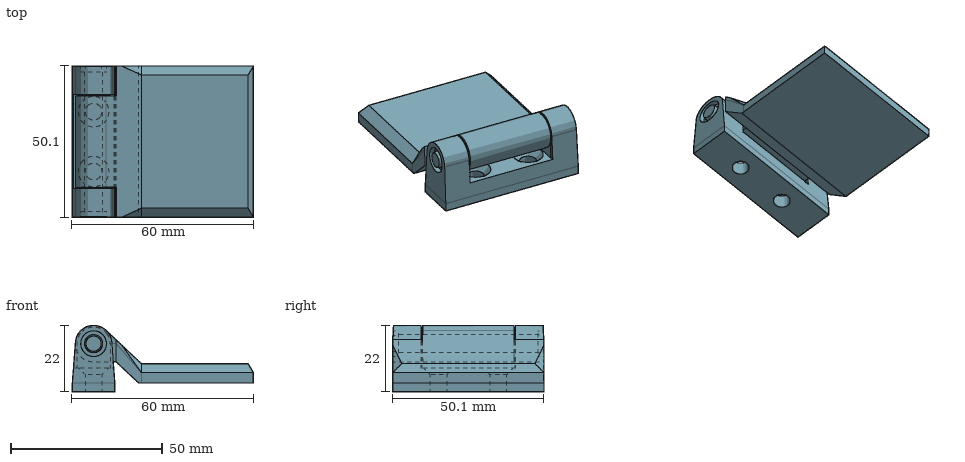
import cadquery as cq
import math

total_length = 60.0
total_width = 50.1
half_width = total_width / 2
knuckle_radius = 6.05
axis_height = 15.95
base_width = 14.15
axis_x = base_width / 2

plinth_height = 2.9
slot_floor_height = 8.0
base_end_slope = math.tan(math.radians(0.6))
slot_length = 31.2
pad_width = 11.05
pad_thickness = 0.2

screw_spacing = 19.8
screw_hole_diameter = 5.5
screw_sink_diameter = 10.1

pin_diameter = 6.0
pin_end_diameter = 5.05
pin_recess_diameter = 8.5
pin_recess_depth = 2.0

barrel_length = 30.35
plate_bottom = plinth_height
plate_top = 9.35
plate_start_x = 22.9
neck_start_x = 14.5
neck_bottom_end_x = 22.0
bevel_height = 3.0
side_bevel_width = 3.0
end_bevel_width = 1.75
leaf_draft_slope = math.tan(math.radians(1.0))
barrel_top_slope = math.tan(math.radians(0.5))
corner_facet_start_x = 16.3

bevel_bottom = plate_top - bevel_height


def tangent_point(corner_x, corner_z, side):
    """Point where the line from a corner touches the knuckle; side is +1 right, -1 left."""
    dx = corner_x - axis_x
    dz = corner_z - axis_height
    direction = math.atan2(dz, dx) + side * math.acos(knuckle_radius / math.hypot(dx, dz))
    return (
        axis_x + knuckle_radius * math.cos(direction),
        axis_height + knuckle_radius * math.sin(direction),
    )


neck_top_start = tangent_point(plate_start_x, plate_top, 1)


def neck_top_height(x):
    """Height of the sloped top of the leaf at a given x."""
    run = plate_start_x - neck_top_start[0]
    return plate_top + (plate_start_x - x) * (neck_top_start[1] - plate_top) / run


def extrude_across(profile, width):
    """Extrude an XZ profile symmetrically about Y = 0."""
    return profile.extrude(width).translate((0, width / 2, 0))


def cylinder_across(diameter, width):
    """Cylinder on the hinge axis, centred on Y = 0."""
    return extrude_across(cq.Workplane("XZ").center(axis_x, axis_height).circle(diameter / 2), width)


def make_base():
    profile = (
        cq.Workplane("XZ")
        .moveTo(0, 0)
        .lineTo(base_width, 0)
        .lineTo(base_width, plinth_height)
        .lineTo(*tangent_point(base_width, plinth_height, 1))
        .threePointArc(
            (axis_x, axis_height + knuckle_radius), tangent_point(0, plinth_height, -1)
        )
        .lineTo(0, plinth_height)
        .close()
    )
    base = extrude_across(profile, total_width)

    slot_height = axis_height + knuckle_radius - slot_floor_height
    slot = cq.Workplane("XY", origin=(axis_x, 0, slot_floor_height)).box(
        base_width, slot_length, slot_height, centered=(True, True, False)
    )
    base = base.cut(slot).union(make_bearing_pads())

    base = base.cut(cylinder_across(pin_diameter, total_width))
    recess_floor_gap = total_width - 2 * pin_recess_depth
    recesses = cylinder_across(pin_recess_diameter, total_width).cut(
        cylinder_across(pin_recess_diameter, recess_floor_gap)
    )
    base = base.cut(recesses)

    for side in (-1, 1):
        base = base.cut(make_base_end_draft(side))
        base = base.cut(make_screw_hole(side * screw_spacing / 2))
    return base


def make_bearing_pads():
    """Round-topped pads on the two inner faces of the slot, around the pin."""
    pad_foot_height = axis_height - slot_floor_height
    outline = cylinder_across(pad_width, slot_length).union(
        cq.Workplane("XY", origin=(axis_x, 0, slot_floor_height)).box(
            pad_width, slot_length, pad_foot_height, centered=(True, True, False)
        )
    )
    gap = cq.Workplane("XY").box(
        2 * total_length, slot_length - 2 * pad_thickness, 2 * total_length
    )
    return outline.cut(gap)


def make_base_end_draft(side):
    """Thin wedge that leans a base end face inward above the plinth."""
    outer_y = side * half_width
    rise = axis_height + knuckle_radius - plinth_height
    return (
        cq.Workplane("YZ")
        .moveTo(outer_y, plinth_height)
        .line(0, rise)
        .line(-side * rise * base_end_slope, 0)
        .close()
        .extrude(base_width)
    )


def make_screw_hole(y):
    """Countersunk hole, from the slot floor down through the base."""
    sink_depth = (screw_sink_diameter - screw_hole_diameter) / 2
    return (
        cq.Workplane("XZ", origin=(axis_x, y, 0))
        .lineTo(screw_hole_diameter / 2, 0)
        .lineTo(screw_hole_diameter / 2, slot_floor_height - sink_depth)
        .lineTo(screw_sink_diameter / 2, slot_floor_height)
        .lineTo(0, slot_floor_height)
        .close()
        .revolve(360, (0, 0, 0), (0, 1, 0))
    )


def make_pin():
    end_inset = (pin_diameter - pin_end_diameter) / 2
    pin = cylinder_across(pin_diameter, total_width)
    pin = pin.faces("<Y").edges().chamfer(pin_recess_depth, end_inset)
    return pin.faces(">Y").edges().chamfer(pin_recess_depth, end_inset)


def make_leaf():
    barrel_bottom = axis_height - knuckle_radius
    profile = (
        cq.Workplane("XZ")
        .moveTo(axis_x, barrel_bottom)
        .lineTo(neck_start_x, barrel_bottom)
        .lineTo(neck_bottom_end_x, plate_bottom)
        .lineTo(total_length - (bevel_bottom - plate_bottom) * leaf_draft_slope, plate_bottom)
        .lineTo(total_length, bevel_bottom)
        .lineTo(total_length - end_bevel_width, plate_top)
        .lineTo(plate_start_x, plate_top)
        .lineTo(*neck_top_start)
        .threePointArc((axis_x - knuckle_radius, axis_height), (axis_x, barrel_bottom))
        .close()
    )
    leaf = extrude_across(profile, total_width)

    axis_start = (0, axis_height)
    neck_start = (neck_start_x, axis_height)
    plate_start = (plate_start_x, bevel_bottom)
    plate_end = (total_length, bevel_bottom)

    notch_width = (total_width - barrel_length) / 2
    for side in (-1, 1):
        barrel_end_y = side * barrel_length / 2
        outer_y = side * half_width
        notch = cq.Workplane("XY").box(
            neck_start_x, notch_width, total_length, centered=(False, True, True)
        )
        leaf = leaf.cut(notch.translate((0, side * (half_width - notch_width / 2), 0)))
        leaf = leaf.cut(make_side_bevel(side))
        leaf = leaf.cut(make_side_draft(side, barrel_end_y, axis_start, neck_start, barrel_top_slope))
        leaf = leaf.cut(make_side_draft(side, outer_y, neck_start, plate_start, 0))
        leaf = leaf.cut(make_side_draft(side, outer_y, plate_start, plate_end, 0))

    return leaf.cut(cylinder_across(pin_diameter, total_width))


def make_side_draft(side, y, start, end, upper_slope):
    """Cutter that leans a leaf side inward below, and by upper_slope above, a parting line.

    The line lies at the given y and runs between two (x, z) points.
    """
    reach = 2 * knuckle_radius
    lean = side * reach * leaf_draft_slope
    outside = y + lean
    start_x, start_z = start
    section = [
        (y, start_z),
        (y - side * reach * upper_slope, start_z + reach),
        (outside, start_z + reach),
        (outside, start_z - reach),
        (y - lean, start_z - reach),
    ]
    wire = cq.Wire.makePolygon([cq.Vector(start_x, py, pz) for py, pz in section], close=True)
    run = cq.Vector(end[0] - start_x, 0, end[1] - start_z)
    return cq.Workplane(cq.Solid.extrudeLinear(wire, [], run))


def make_side_bevel(side):
    """Wedge along a long plate edge."""
    inner_y = side * (half_width - side_bevel_width)
    outer_y = side * half_width
    wedge = (
        cq.Workplane("YZ", origin=(plate_start_x, 0, 0))
        .polyline([(outer_y, bevel_bottom), (outer_y, plate_top), (inner_y, plate_top)])
        .close()
        .extrude(total_length - plate_start_x)
    )
    run_out = (corner_facet_start_x, outer_y, neck_top_height(corner_facet_start_x))
    low = (plate_start_x, outer_y, bevel_bottom)
    high = (plate_start_x, outer_y, plate_top)
    inner = (plate_start_x, inner_y, plate_top)
    triangles = [
        (run_out, low, high),
        (run_out, high, inner),
        (run_out, inner, low),
        (low, inner, high),
    ]
    faces = [
        cq.Face.makeFromWires(cq.Wire.makePolygon([cq.Vector(*p) for p in t], close=True))
        for t in triangles
    ]
    corner = cq.Solid.makeSolid(cq.Shell.makeShell(faces))
    return wedge.union(cq.Workplane(corner))


base = make_base()
pin = make_pin()
leaf = make_leaf()

result = cq.Compound.makeCompound([base.solids().val(), pin.solids().val(), leaf.solids().val()])